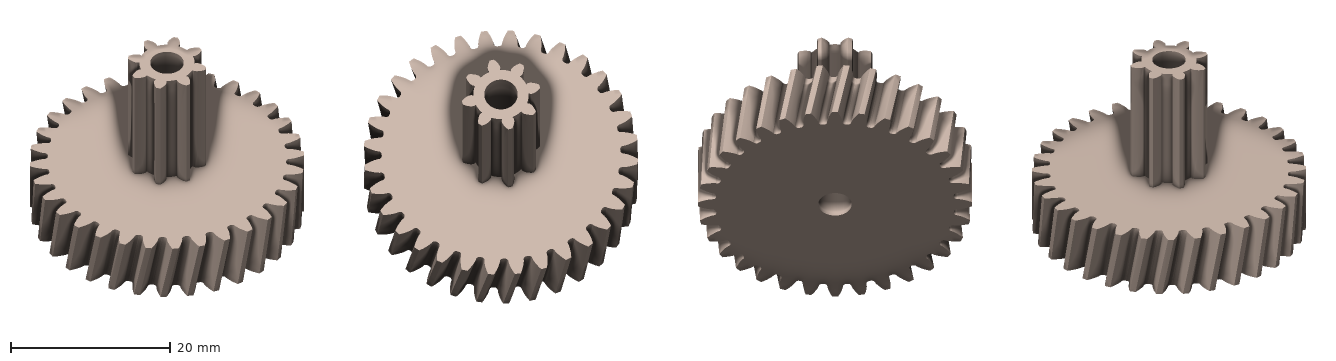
import cadquery as cq
import math

wheel_teeth = 32
pinion_teeth = 8
helix_angle = math.radians(10)
pressure_angle = math.radians(20)
wheel_tip_radius = 17.25
wheel_width = 8.0
pinion_length = 16.0
bore_diameter = 4.2

module = 2 * wheel_tip_radius / (wheel_teeth / math.cos(helix_angle) + 2)

wheel_pitch_radius = module * wheel_teeth / math.cos(helix_angle) / 2
wheel_root_radius = wheel_pitch_radius - 1.25 * module
wheel_flank_start = 15.5
root_land_width = 0.2
wheel_pressure_angle = math.atan(math.tan(pressure_angle) / math.cos(helix_angle))
wheel_twist = math.degrees(wheel_width * math.tan(helix_angle) / wheel_pitch_radius)

pinion_pitch_radius = module * pinion_teeth / 2
pinion_tip_radius = pinion_pitch_radius + module
pinion_base_radius = pinion_pitch_radius * math.cos(pressure_angle)
pinion_root_radius = 3.5
pinion_neck_width = 1.35

FLANK_POINTS = 5


def polar(radius, angle):
    return radius * math.cos(angle), radius * math.sin(angle)


def involute(angle):
    return math.tan(angle) - angle


def flank_half_angles(teeth, pitch_radius, pressure, start_radius, tip_radius):
    """List (radius, half of the tooth's angular thickness) from the flank start to the tip."""
    base_radius = pitch_radius * math.cos(pressure)
    base_half_angle = math.pi / (2 * teeth) + involute(pressure)
    flank = []
    for i in range(FLANK_POINTS):
        radius = start_radius + (tip_radius - start_radius) * i / (FLANK_POINTS - 1)
        roll = math.acos(min(1.0, base_radius / radius))
        flank.append((radius, base_half_angle - involute(roll)))
    return flank


def add_tooth(outline, flank, center):
    """Draw up one flank, across the tip and down the other flank, from the current point."""
    tip_radius, tip_half_angle = flank[-1]
    rising = [polar(radius, center - half) for radius, half in flank]
    falling = [polar(radius, center + half) for radius, half in reversed(flank)]
    outline = outline.spline(rising[1:], includeCurrent=True)
    outline = outline.threePointArc(polar(tip_radius, center), polar(tip_radius, center + tip_half_angle))
    return outline.spline(falling[1:], includeCurrent=True)


def root_fillet_middle(flank_angle, land_angle):
    """Middle of the arc through the flank start that runs tangent into the root circle at land_angle."""
    flank_end = cq.Vector(*polar(wheel_flank_start, flank_angle))
    land_end = cq.Vector(*polar(wheel_root_radius, land_angle))
    outward = cq.Vector(*polar(1, land_angle))
    chord = flank_end - land_end
    radius = chord.dot(chord) / (2 * chord.dot(outward))
    center = land_end + outward * radius
    toward_middle = (flank_end + land_end) * 0.5 - center
    return (center + toward_middle.normalized() * radius).toTuple()[:2]


def make_wheel():
    """Helical wheel whose tooth gaps have a filleted root."""
    flank = flank_half_angles(
        wheel_teeth, wheel_pitch_radius, wheel_pressure_angle, wheel_flank_start, wheel_tip_radius
    )
    start_half_angle = flank[0][1]
    land_half_angle = root_land_width / 2 / wheel_root_radius
    pitch_angle = 2 * math.pi / wheel_teeth
    outline = cq.Workplane("XY").moveTo(*polar(wheel_flank_start, -start_half_angle))
    for i in range(wheel_teeth):
        center = i * pitch_angle
        outline = add_tooth(outline, flank, center)
        gap = center + pitch_angle / 2
        first_flank = center + start_half_angle
        first_land = gap - land_half_angle
        last_land = gap + land_half_angle
        last_flank = center + pitch_angle - start_half_angle
        outline = (
            outline.threePointArc(
                root_fillet_middle(first_flank, first_land), polar(wheel_root_radius, first_land)
            )
            .threePointArc(polar(wheel_root_radius, gap), polar(wheel_root_radius, last_land))
            .threePointArc(
                root_fillet_middle(last_flank, last_land), polar(wheel_flank_start, last_flank)
            )
        )
    return outline.close().twistExtrude(wheel_width, wheel_twist)


def make_pinion():
    """Straight pinion with undercut teeth standing on the top face of the wheel."""
    flank = flank_half_angles(
        pinion_teeth, pinion_pitch_radius, pressure_angle, pinion_base_radius, pinion_tip_radius
    )
    neck_half_angle = math.asin(pinion_neck_width / 2 / pinion_root_radius)
    pitch_angle = 2 * math.pi / pinion_teeth
    outline = cq.Workplane("XY").workplane(offset=wheel_width)
    outline = outline.moveTo(*polar(pinion_root_radius, -neck_half_angle))
    for i in range(pinion_teeth):
        center = i * pitch_angle
        outline = outline.lineTo(*polar(pinion_base_radius, center - flank[0][1]))
        outline = add_tooth(outline, flank, center)
        outline = outline.lineTo(*polar(pinion_root_radius, center + neck_half_angle))
        outline = outline.threePointArc(
            polar(pinion_root_radius, center + pitch_angle / 2),
            polar(pinion_root_radius, center + pitch_angle - neck_half_angle),
        )
    return outline.close().extrude(pinion_length)


def make_bore():
    return cq.Workplane("XY").circle(bore_diameter / 2).extrude(wheel_width + pinion_length)


result = make_wheel().union(make_pinion()).cut(make_bore())